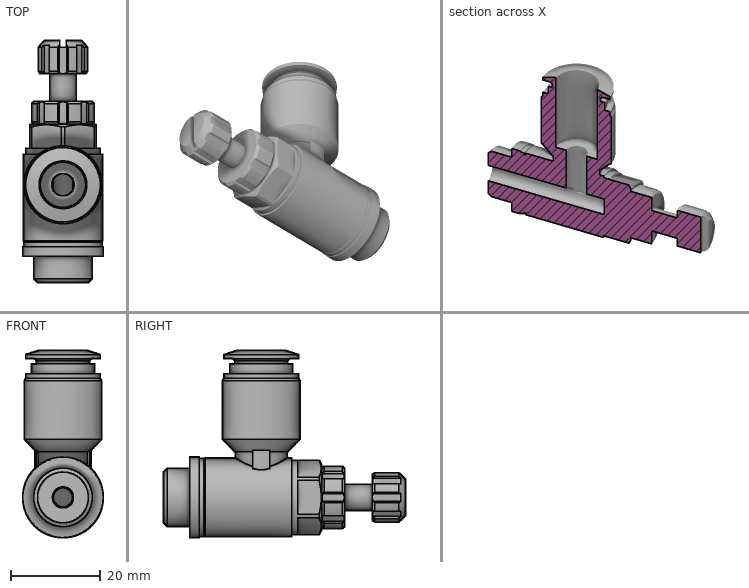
import cadquery as cq
import math


LENGTH = 54.4
PORT_DIA = 13.15
PORT_CHAMFER = 0.85
FLANGE_START = 5.9
FLANGE_DIA = 18.15
COLLAR_START = 8.1
COLLAR_DIA = 17.7
GROOVE_START = 9.1
GROOVE_DIA = 16.8
BODY_START = 9.35
BODY_END = 28.8
BODY_DIA = 17.8
RING_DIA = 16.8
HEX_START = 30.2
HEX_END = 35.5
HEX_FLATS = 14.95
HEX_CORNER_DIA = 16.8
HEX_TIP_DIA = 14.7
HEX_CHAMFER = 0.55

PORT_BORE_DIA = 4.3
PORT_MOUTH_DIA = 4.75
SOCKET_DRILL_DIA = 5.0
SOCKET_BORE_DIA = 10.2
SOCKET_LIP_DIA = 10.7

STEM_DIA = 6.0
NUT_END = 40.75
NUT_DIA = 14.3
NUT_CHAMFER = 0.6
NUT_GROOVE_DEPTH = 0.45
KNOB_START = 46.95
KNOB_DIA = 11.4
KNOB_CHAMFER = 0.55
KNOB_TIP_CHAMFER = 1.6
KNOB_GROOVE_DEPTH = 0.55
GRIP_GROOVES = 8
GRIP_FLOOR_WIDTH = 1.7
GRIP_TOP_WIDTH = 2.55
SLOT_WIDTH = 1.4
SLOT_DEPTH = 1.5

SOCKET_Y = 22.0
SOCKET_DIA = 17.5
NECK_DIA = 11.7
CONE_BOTTOM_DIA = 12.0
CONE_BOTTOM = 10.3
SOCKET_BOTTOM = 13.1
SOCKET_TOP = 26.15
CAP_DIA = 16.75
CAP_START = 26.8
CAP_TOP = 27.8
SLEEVE_DIA = 14.2
SLEEVE_TOP = 30.0
RELEASE_NECK_DIA = 12.0
RELEASE_NECK_TOP = 30.75
RELEASE_DIA = 16.75
RELEASE_UNDERSIDE_DIA = 12.8
RELEASE_BOTTOM = 31.15
RELEASE_EDGE = 32.1
OVERALL_HEIGHT = 42.15
SOCKET_END = OVERALL_HEIGHT - FLANGE_DIA / 2
TAB_DIA = 12.75
TAB_WIDTH = 3.9
TAB_TOP = 10.75


def turned(stations):
    """Solid of revolution about Y from (diameter, y) stations."""
    outline = [(0, stations[0][1])]
    outline += [(dia / 2, y) for dia, y in stations]
    outline.append((0, stations[-1][1]))
    return cq.Workplane("XY").polyline(outline).close().revolve(360, (0, 0), (0, 1))


def upright(stations):
    """Solid of revolution about the socket axis from (diameter, z) stations."""
    standing = turned(stations).rotate((0, 0, 0), (1, 0, 0), 90)
    return standing.translate((0, SOCKET_Y, 0))


def fluted_grip(stations, dia, depth):
    """Turned grip with flared grooves spaced evenly around its rim."""
    start = stations[0][1]
    length = stations[-1][1] - start
    floor = dia / 2 - depth
    flare = (GRIP_TOP_WIDTH - GRIP_FLOOR_WIDTH) / 2 / depth
    clear = dia / 2 + depth
    half_floor = GRIP_FLOOR_WIDTH / 2
    half_clear = half_floor + flare * (clear - floor)
    groove = (
        cq.Workplane("XZ", origin=(0, start, 0))
        .polyline([(-half_floor, floor), (half_floor, floor), (half_clear, clear), (-half_clear, clear)])
        .close()
        .extrude(-length)
    )
    grip = turned(stations)
    for index in range(GRIP_GROOVES):
        grip = grip.cut(groove.rotate((0, 0, 0), (0, 1, 0), index * 360 / GRIP_GROOVES))
    return grip


def make_body():
    return turned([
        (PORT_DIA - 2 * PORT_CHAMFER, 0),
        (PORT_DIA, PORT_CHAMFER),
        (PORT_DIA, FLANGE_START),
        (FLANGE_DIA, FLANGE_START),
        (FLANGE_DIA, COLLAR_START),
        (COLLAR_DIA, COLLAR_START),
        (COLLAR_DIA, GROOVE_START),
        (GROOVE_DIA, GROOVE_START),
        (GROOVE_DIA, BODY_START),
        (BODY_DIA, BODY_START),
        (BODY_DIA, BODY_END),
        (RING_DIA, BODY_END),
        (RING_DIA, HEX_START),
    ])


def make_hex():
    """Hexagon with corners on +-Z, its corners and outer end turned down."""
    across_corners = HEX_FLATS / math.cos(math.pi / 6)
    prism = (
        cq.Workplane("XZ", origin=(0, HEX_START, 0))
        .polygon(6, across_corners)
        .extrude(HEX_START - HEX_END)
        .rotate((0, 0, 0), (0, 1, 0), 30)
    )
    envelope = turned([
        (HEX_CORNER_DIA, HEX_START),
        (HEX_CORNER_DIA, HEX_END - HEX_CHAMFER),
        (HEX_TIP_DIA, HEX_END),
    ])
    return prism.intersect(envelope)


def make_screw():
    """Lock nut, stem and slotted knob."""
    nut_tip = NUT_DIA - 2 * NUT_CHAMFER
    nut = fluted_grip(
        [
            (nut_tip, HEX_END),
            (NUT_DIA, HEX_END + NUT_CHAMFER),
            (NUT_DIA, NUT_END - NUT_CHAMFER),
            (nut_tip, NUT_END),
        ],
        NUT_DIA,
        NUT_GROOVE_DEPTH,
    )
    stem = turned([(STEM_DIA, NUT_END), (STEM_DIA, KNOB_START)])
    knob = fluted_grip(
        [
            (KNOB_DIA - 2 * KNOB_CHAMFER, KNOB_START),
            (KNOB_DIA, KNOB_START + KNOB_CHAMFER),
            (KNOB_DIA, LENGTH - KNOB_TIP_CHAMFER),
            (KNOB_DIA - 2 * KNOB_TIP_CHAMFER, LENGTH),
        ],
        KNOB_DIA,
        KNOB_GROOVE_DEPTH,
    )
    slot = cq.Workplane("XY").box(SLOT_WIDTH, 2 * SLOT_DEPTH, KNOB_DIA).translate((0, LENGTH, 0))
    return nut.union(stem).union(knob.cut(slot))


def make_socket():
    socket = upright([
        (NECK_DIA, 0),
        (NECK_DIA, CONE_BOTTOM),
        (CONE_BOTTOM_DIA, CONE_BOTTOM),
        (SOCKET_DIA, SOCKET_BOTTOM),
        (SOCKET_DIA, SOCKET_TOP),
        (CAP_DIA, CAP_START),
        (CAP_DIA, CAP_TOP),
        (SLEEVE_DIA, CAP_TOP),
        (SLEEVE_DIA, SLEEVE_TOP),
        (RELEASE_NECK_DIA, SLEEVE_TOP),
        (RELEASE_NECK_DIA, RELEASE_NECK_TOP),
        (RELEASE_UNDERSIDE_DIA, RELEASE_BOTTOM),
        (RELEASE_DIA, RELEASE_BOTTOM),
        (RELEASE_DIA, RELEASE_EDGE),
        (SOCKET_LIP_DIA, SOCKET_END),
    ])
    tab_block = cq.Workplane("XY", origin=(0, SOCKET_Y, 0)).rect(TAB_DIA, TAB_WIDTH).extrude(TAB_TOP)
    tabs = upright([(TAB_DIA, 0), (TAB_DIA, TAB_TOP)]).intersect(tab_block)
    return socket.union(tabs)


def make_bores():
    """Tube socket with its drilled floor, meeting the countersunk port bore."""
    mouth_chamfer = (PORT_MOUTH_DIA - PORT_BORE_DIA) / 2
    lip_chamfer = (SOCKET_LIP_DIA - SOCKET_BORE_DIA) / 2
    port = turned([
        (PORT_MOUTH_DIA, 0),
        (PORT_BORE_DIA, mouth_chamfer),
        (PORT_BORE_DIA, BODY_END),
    ])
    socket = upright([
        (SOCKET_DRILL_DIA, 0),
        (SOCKET_DRILL_DIA, SOCKET_BOTTOM),
        (SOCKET_BORE_DIA, SOCKET_BOTTOM),
        (SOCKET_BORE_DIA, SOCKET_END - lip_chamfer),
        (SOCKET_LIP_DIA, SOCKET_END),
    ])
    return port.union(socket)


solid_fitting = make_body().union(make_hex()).union(make_screw()).union(make_socket())
result = solid_fitting.cut(make_bores())